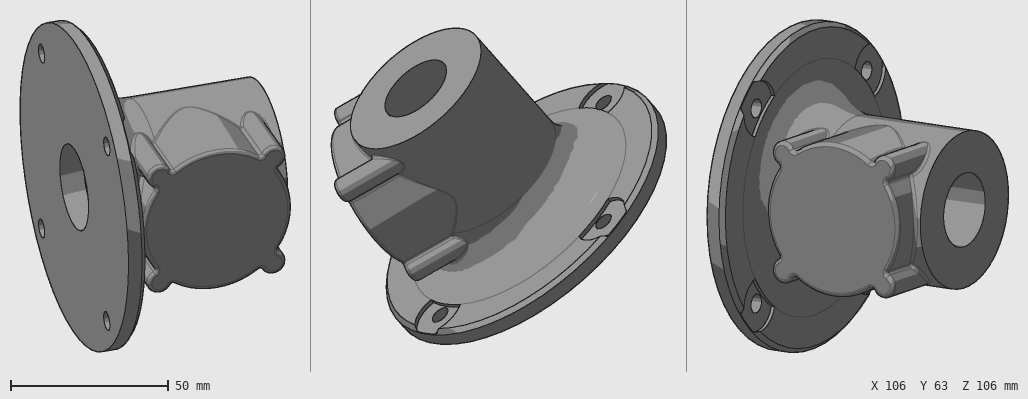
import cadquery as cq
import math

flange_radius = 53.0
flange_thickness = 6.0
flange_chamfer = 1.5

tube_radius = 25.4
overall_depth = 63.0
flare_radius = 16.0

bore_radius = 12.0
counterbore_radius = 14.0
counterbore_depth = 8.0

hole_spacing = 63.6
hole_diameter = 6.0
spotface_radius = 9.0
spotface_depth = 1.3

boss_center_y = 35.9
boss_reach = 35.0
barrel_radius = 25.0
lobe_spacing = 38.2
lobe_radius = 4.0
boss_root_fillet = 1.0
boss_edge_fillet = 1.3


def at_hole_centers(y):
    """The four mounting-hole centers on a plane at the given Y."""
    plane = cq.Workplane("XZ", origin=(0, y, 0))
    return plane.rect(hole_spacing, hole_spacing, forConstruction=True).vertices()


def flange():
    """Disc chamfered on its back rim, with a spotface round each mounting hole."""
    disc = cq.Workplane("XZ").circle(flange_radius).extrude(-flange_thickness)
    disc = disc.faces(">Y").edges().chamfer(flange_chamfer)
    seat_y = flange_thickness - spotface_depth
    seats = at_hole_centers(seat_y).circle(spotface_radius).extrude(-spotface_depth)
    return disc.cut(seats)


def flared_tube():
    """Solid tube and its concave flare, revolved about Y; the flare stays whole beside the spotfaces."""
    flare_top = flange_thickness + flare_radius
    flare_outer = tube_radius + flare_radius
    chord = flare_radius * math.sqrt(0.5)
    flare_middle = (chord - flare_outer, flare_top - chord)
    profile = (
        cq.Workplane("XY")
        .lineTo(-flare_outer, 0)
        .lineTo(-flare_outer, flange_thickness)
        .threePointArc(flare_middle, (-tube_radius, flare_top))
        .lineTo(-tube_radius, overall_depth)
        .lineTo(0, overall_depth)
        .close()
    )
    return profile.revolve(360, (0, 0, 0), (0, 1, 0))


def side_boss():
    """Barrel and lobes running from the tube axis out to the +X end face."""
    section = cq.Workplane("YZ", origin=(0, boss_center_y, 0))
    barrel = section.circle(barrel_radius).extrude(boss_reach)
    lobes = (
        section.rect(lobe_spacing, lobe_spacing, forConstruction=True)
        .vertices()
        .circle(lobe_radius)
        .extrude(boss_reach)
    )
    return barrel.union(lobes)


def tube_with_boss():
    """Tube and side boss joined, with the inner corners and the boss end rounded."""
    joined = flared_tube().union(side_boss())
    rounded = joined.edges("%BSPLINE or |X").fillet(boss_root_fillet)
    return rounded.faces(">X").edges().fillet(boss_edge_fillet)


def bore():
    """Through bore, widened at the flange face."""
    through = cq.Workplane("XZ").circle(bore_radius).extrude(-overall_depth)
    counterbore = cq.Workplane("XZ").circle(counterbore_radius).extrude(-counterbore_depth)
    return through.union(counterbore)


def mounting_holes():
    """Plain holes through the flange."""
    return at_hole_centers(0).circle(hole_diameter / 2).extrude(-flange_thickness)


result = tube_with_boss().union(flange()).cut(bore()).cut(mounting_holes())